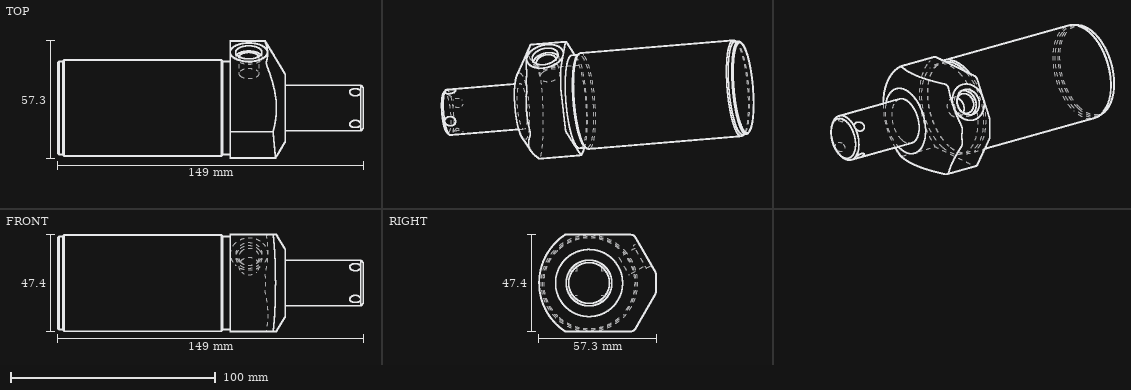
import cadquery as cq
import math

length = 149.0
head_start = 84.0
head_end = 111.0

cutter_margin = 1.5

barrel_radius = 23.5
neck_radius = 22.8
barrel_start = 3.1
barrel_end = 79.7
barrel_bevel = 0.7
end_chamfer = 0.6

rod_radius = 11.2
rod_chamfer = 1.2
dimple_diameter = 4.9
dimple_x = 145.1
dimple_cone_angle = 90.0
dimple_angles = (45, 135, 225, 315)

flat_half_height = 23.7
back_y = -24.5
flat_back_y = -11.6
tip_y = 32.8
port_face_tilt = 30.0
port_y = 27.3
port_z = 14.3
shoulder_radius = 3.0
tip_radius = 4.5

nose_radius = 16.4
nose_angle = 31.0

port_x = 93.1
port_diameter = 9.8
port_depth = 11.9
counterbore_diameter = 12.8
counterbore_depth = 3.0
spot_face_diameter = 18.2
spot_face_depth = 0.07


def make_turned_body():
    """Barrel, neck and rod revolved about X."""
    profile = [
        (0, 0),
        (0, neck_radius - end_chamfer),
        (end_chamfer, neck_radius),
        (barrel_start - barrel_bevel, neck_radius),
        (barrel_start, barrel_radius),
        (barrel_end, barrel_radius),
        (barrel_end + barrel_bevel, neck_radius),
        (head_start, neck_radius),
        (head_start, rod_radius),
        (length - rod_chamfer, rod_radius),
        (length, rod_radius - rod_chamfer),
        (length, 0),
    ]
    return cq.Workplane("XY").polyline(profile).close().revolve(360, (0, 0, 0), (1, 0, 0))


def edge_zone(y, half_height):
    """Selector for the head's two X-parallel edges at the given Y and +/- half height."""
    slack = 0.01
    zones = [
        cq.selectors.BoxSelector(
            (head_start, y - slack, z - slack), (head_end, y + slack, z + slack)
        )
        for z in (-half_height, half_height)
    ]
    return zones[0] + zones[1]


def make_head():
    """Flat-sided block with a rounded back, sloped port faces and a conical nose."""
    slope = 1 / math.tan(math.radians(port_face_tilt))
    tip_half_height = port_z - (tip_y - port_y) * slope
    shoulder_y = port_y - (flat_half_height - port_z) / slope
    block = (
        cq.Workplane("YZ", origin=(head_start, 0, 0))
        .moveTo(flat_back_y, -flat_half_height)
        .lineTo(shoulder_y, -flat_half_height)
        .lineTo(tip_y, -tip_half_height)
        .lineTo(tip_y, tip_half_height)
        .lineTo(shoulder_y, flat_half_height)
        .lineTo(flat_back_y, flat_half_height)
        .threePointArc((back_y, 0), (flat_back_y, -flat_half_height))
        .close()
        .extrude(head_end - head_start)
    )
    block = block.edges(edge_zone(tip_y, tip_half_height)).fillet(tip_radius)
    block = block.edges(edge_zone(shoulder_y, flat_half_height)).fillet(shoulder_radius)

    rear_radius = nose_radius + (head_end - head_start) / math.tan(math.radians(nose_angle))
    nose = (
        cq.Workplane("XY")
        .polyline([(head_start, 0), (head_start, rear_radius), (head_end, nose_radius), (head_end, 0)])
        .close()
        .revolve(360, (0, 0, 0), (1, 0, 0))
    )
    return block.intersect(nose)


def make_port():
    """Shallow spot face, counterbore and blind port bore on one axis."""
    tilt = math.radians(port_face_tilt)
    outward = cq.Vector(0, math.cos(tilt), math.sin(tilt))
    face_centre = cq.Vector(port_x, port_y, port_z)
    steps = [
        (spot_face_diameter, spot_face_depth),
        (counterbore_diameter, counterbore_depth),
        (port_diameter, port_depth),
    ]
    cutter = cq.Workplane()
    for diameter, depth in steps:
        floor = face_centre - outward * depth
        cutter = cutter.add(cq.Solid.makeCylinder(diameter / 2, depth + cutter_margin, floor, outward))
    return cutter.combine()


def make_dimple(angle):
    """Conical dimple in the rod, at an angle about X from +Y."""
    turn = math.radians(angle)
    outward = cq.Vector(0, math.cos(turn), math.sin(turn))
    rim_height = math.sqrt(rod_radius**2 - (dimple_diameter / 2) ** 2)
    taper = math.tan(math.radians(dimple_cone_angle / 2))
    apex_height = rim_height - dimple_diameter / 2 / taper
    cone_height = rod_radius + cutter_margin - apex_height
    apex = cq.Vector(dimple_x, 0, 0) + outward * apex_height
    return cq.Workplane(cq.Solid.makeCone(0, cone_height * taper, cone_height, apex, outward))


result = make_turned_body().union(make_head()).cut(make_port())
for dimple_angle in dimple_angles:
    result = result.cut(make_dimple(dimple_angle))